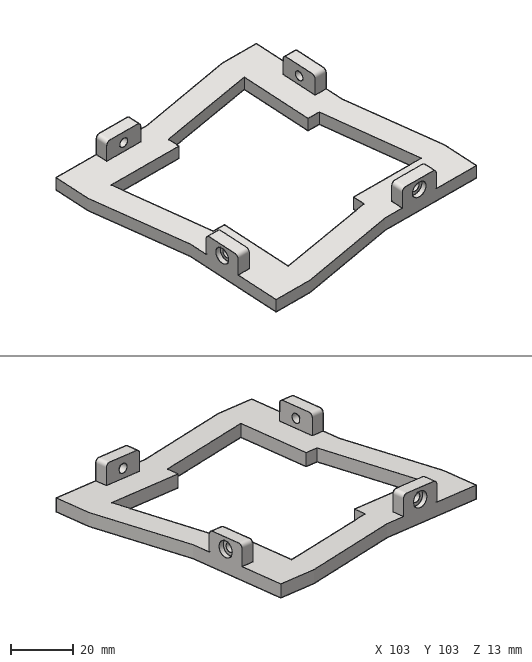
import cadquery as cq

HALF_SIZE = 51.5
RECESSED_HALF = 44.1
BEND = 29.0
INNER_HALF = 41.2
STEP_X = 11.2
STEP_HEIGHT = 4.9
BASE_HEIGHT = 5.0
SIDES = 4
SIDE_ANGLE = 360 / SIDES

TOTAL_HEIGHT = 13.0
TAB_WIDTH = 15.0
TAB_THICKNESS = 4.9
TAB_X = 26.2
TAB_FILLET = 1.5
HOLE_HEIGHT = 8.7
HOLE_DIAMETER = 3.5
BORE_DIAMETER = 6.0
BORE_DEPTH = 2.0


def quarter_turns(points):
    """Repeat plan points for all sides of the frame, counterclockwise."""
    outline = []
    for _ in range(SIDES):
        outline += points
        points = [(-y, x) for x, y in points]
    return outline


def make_frame():
    outer = quarter_turns([
        (-RECESSED_HALF, -HALF_SIZE),
        (-BEND, -HALF_SIZE),
        (STEP_X, -RECESSED_HALF),
    ])
    inner = quarter_turns([
        (-BEND, -INNER_HALF),
        (STEP_X, -BEND - STEP_HEIGHT),
        (STEP_X, -BEND),
    ])
    plate = cq.Workplane("XY").polyline(outer).close().extrude(BASE_HEIGHT)
    opening = cq.Workplane("XY").polyline(inner).close().extrude(BASE_HEIGHT)
    return plate.cut(opening)


def make_tab():
    """Tab on the -Y side, flush with the outer wall and standing on the frame."""
    return (
        cq.Workplane("XY", origin=(TAB_X, -RECESSED_HALF + TAB_THICKNESS / 2, 0))
        .rect(TAB_WIDTH, TAB_THICKNESS)
        .extrude(TOTAL_HEIGHT)
        .edges(">Z and |Y")
        .fillet(TAB_FILLET)
    )


def make_screw_hole():
    """Through hole with a counterbore in the outer face of the -Y tab."""
    outer_face = cq.Workplane("XZ", origin=(TAB_X, -RECESSED_HALF, HOLE_HEIGHT))
    hole = outer_face.circle(HOLE_DIAMETER / 2).extrude(-TAB_THICKNESS)
    bore = outer_face.circle(BORE_DIAMETER / 2).extrude(-BORE_DEPTH)
    return hole.union(bore)


tab = make_tab()
screw_hole = make_screw_hole()
result = make_frame()
for side in range(SIDES):
    angle = side * SIDE_ANGLE
    result = result.union(tab.rotate((0, 0, 0), (0, 0, 1), angle))
    result = result.cut(screw_hole.rotate((0, 0, 0), (0, 0, 1), angle))